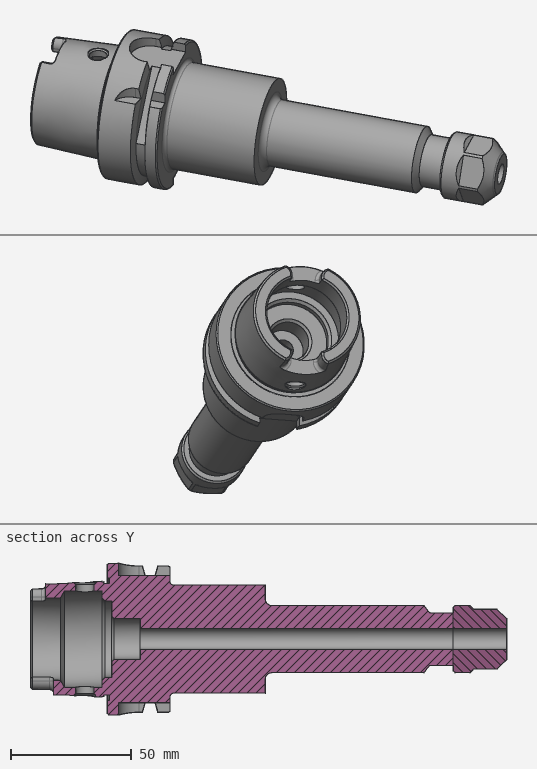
import cadquery as cq
import math

TOTAL_LENGTH = 197.6
ARC_MIDDLE = math.sqrt(0.5)

TAPER_FRONT_RADIUS = 22.7
TAPER_REAR_RADIUS = 24.1
TAPER_LENGTH = 29.6
FRONT_EDGE_CHAMFER = 0.8
COLLAR_RADIUS = 24.0
COLLAR_LENGTH = 0.8
RELIEF_RADIUS = 23.3
FACE_GROOVE_RADIUS = 25.3
FACE_GROOVE_DEPTH = 0.8

FLANGE_RADIUS = 63.0 / 2
FLANGE_START = 31.8
FLANGE_END = 57.9
FLANGE_EDGE_CHAMFER = 0.5
V_GROOVE_RADIUS = 27.5
V_GROOVE_CENTER = 49.6
V_GROOVE_FLOOR_WIDTH = 4.0
V_GROOVE_TOP_WIDTH = 6.3

BODY_RADIUS = 22.5
BODY_END = 97.5
BODY_FILLET = 1.5
STEM_RADIUS = 28.0 / 2
STEM_END = 163.2
STEM_FILLET = 2.8
NECK_RADIUS = 22.0 / 2
NECK_CONE_LENGTH = 2.4

BORE_RADIUS = 34.0 / 2
BORE_STRAIGHT_DEPTH = 12.5
UNDERCUT_RADIUS = 40.0 / 2
UNDERCUT_FLANK_ANGLE = 60
UNDERCUT_END = 29.6
GUIDE_BORE_RADIUS = 15.8
BORE_DEPTH = 33.5
TUBE_HOLE_DIAMETER = 16.8
TUBE_HOLE_MOUTH_DIAMETER = 19.0
TUBE_HOLE_DEPTH = 11.9
COOLANT_HOLE_DIAMETER = 8.5

CROSS_HOLE_X = 22.5
CROSS_HOLE_DIAMETER = 7.5
CROSS_HOLE_MOUTH_DIAMETER = 8.7

DRIVE_SLOT_HALF_WIDTH = 6.3
UPPER_DRIVE_SLOT_DEPTH = 6.1
LOWER_DRIVE_SLOT_DEPTH = 9.5
DRIVE_SLOT_FLARE_RADIUS = 3.5
DRIVE_SLOT_FLARE_TOP = 21.0
DRIVE_SLOT_CORNER_RADIUS = 1.5

KEYWAY_WIDTH = 16.8
KEYWAY_START = 36.5
KEYWAY_FLOOR = 26.5
NOTCH_WALL_Y = -20.0
NOTCH_FLOOR_Z = 19.8
FLAT_UPPER_Y = -5.5
FLAT_LOWER_Z = 2.0

NUT_START = 175.3
NUT_RADIUS = STEM_RADIUS
NUT_REAR_CHAMFER = 0.8
HEX_FLAT_COUNT = 6
HEX_FLAT_DISTANCE = 24.9 / 2
HEX_START = 183.8
HEX_RUNOUT = NUT_RADIUS - HEX_FLAT_DISTANCE
NOSE_CONE_START = 191.9
NOSE_RADIUS = 17.0 / 2
NOSE_RIM_CHAMFER = 0.5


def revolve_profile(profile):
    """Turn a closed (x, radius) profile about the X axis."""
    return profile.close().revolve(360, (0, 0, 0), (1, 0, 0))


def axial_cylinder(diameter, start, length):
    return cq.Workplane("YZ", origin=(start, 0, 0)).circle(diameter / 2).extrude(length)


def concave_fillet_middle(face_x, base_radius, size):
    """Middle point of the fillet between a face toward +X and the cylinder standing on it."""
    inset = size * (1 - ARC_MIDDLE)
    return (face_x + inset, base_radius + inset)


def holder_blank():
    groove_floor_start = V_GROOVE_CENTER - V_GROOVE_FLOOR_WIDTH / 2
    groove_floor_end = V_GROOVE_CENTER + V_GROOVE_FLOOR_WIDTH / 2
    groove_top_start = V_GROOVE_CENTER - V_GROOVE_TOP_WIDTH / 2
    groove_top_end = V_GROOVE_CENTER + V_GROOVE_TOP_WIDTH / 2
    face_groove_floor = FLANGE_START + FACE_GROOVE_DEPTH

    profile = (
        cq.Workplane("XY")
        .moveTo(0, 0)
        .lineTo(0, TAPER_FRONT_RADIUS)
        .lineTo(TAPER_LENGTH, TAPER_REAR_RADIUS)
        .lineTo(TAPER_LENGTH, COLLAR_RADIUS)
        .lineTo(TAPER_LENGTH + COLLAR_LENGTH, COLLAR_RADIUS)
        .lineTo(TAPER_LENGTH + COLLAR_LENGTH, RELIEF_RADIUS)
        .lineTo(face_groove_floor, RELIEF_RADIUS)
        .lineTo(face_groove_floor, FACE_GROOVE_RADIUS)
        .lineTo(FLANGE_START, FACE_GROOVE_RADIUS)
        .lineTo(FLANGE_START, FLANGE_RADIUS - FLANGE_EDGE_CHAMFER)
        .lineTo(FLANGE_START + FLANGE_EDGE_CHAMFER, FLANGE_RADIUS)
        .lineTo(groove_top_start, FLANGE_RADIUS)
        .lineTo(groove_floor_start, V_GROOVE_RADIUS)
        .lineTo(groove_floor_end, V_GROOVE_RADIUS)
        .lineTo(groove_top_end, FLANGE_RADIUS)
        .lineTo(FLANGE_END - FLANGE_EDGE_CHAMFER, FLANGE_RADIUS)
        .lineTo(FLANGE_END, FLANGE_RADIUS - FLANGE_EDGE_CHAMFER)
        .lineTo(FLANGE_END, BODY_RADIUS + BODY_FILLET)
        .threePointArc(
            concave_fillet_middle(FLANGE_END, BODY_RADIUS, BODY_FILLET),
            (FLANGE_END + BODY_FILLET, BODY_RADIUS),
        )
        .lineTo(BODY_END, BODY_RADIUS)
        .lineTo(BODY_END, STEM_RADIUS + STEM_FILLET)
        .threePointArc(
            concave_fillet_middle(BODY_END, STEM_RADIUS, STEM_FILLET),
            (BODY_END + STEM_FILLET, STEM_RADIUS),
        )
        .lineTo(STEM_END, STEM_RADIUS)
        .lineTo(STEM_END + NECK_CONE_LENGTH, NECK_RADIUS)
        .lineTo(NUT_START, NECK_RADIUS)
        .lineTo(NUT_START, 0)
    )
    return revolve_profile(profile)


def holder_bores():
    """Clamping bore with its undercut, coolant tube hole and coolant hole, stepping down along the axis."""
    tube_hole_radius = TUBE_HOLE_DIAMETER / 2
    tube_mouth_radius = TUBE_HOLE_MOUTH_DIAMETER / 2
    flank_rise = UNDERCUT_RADIUS - BORE_RADIUS
    flank_end = BORE_STRAIGHT_DEPTH + flank_rise / math.tan(math.radians(UNDERCUT_FLANK_ANGLE))
    guide_chamfer = BORE_RADIUS - GUIDE_BORE_RADIUS
    tube_chamfer = tube_mouth_radius - tube_hole_radius
    profile = (
        cq.Workplane("XY")
        .moveTo(0, 0)
        .lineTo(0, BORE_RADIUS)
        .lineTo(BORE_STRAIGHT_DEPTH, BORE_RADIUS)
        .lineTo(flank_end, UNDERCUT_RADIUS)
        .lineTo(UNDERCUT_END, UNDERCUT_RADIUS)
        .lineTo(UNDERCUT_END, BORE_RADIUS)
        .lineTo(UNDERCUT_END + guide_chamfer, GUIDE_BORE_RADIUS)
        .lineTo(BORE_DEPTH, GUIDE_BORE_RADIUS)
        .lineTo(BORE_DEPTH, tube_mouth_radius)
        .lineTo(BORE_DEPTH + tube_chamfer, tube_hole_radius)
        .lineTo(BORE_DEPTH + TUBE_HOLE_DEPTH, tube_hole_radius)
        .lineTo(BORE_DEPTH + TUBE_HOLE_DEPTH, 0)
    )
    return revolve_profile(profile).union(axial_cylinder(COOLANT_HOLE_DIAMETER, 0, NUT_START))


def cross_hole():
    """Hole through both taper walls, with a small countersink at each mouth."""
    taper_slope = (TAPER_REAR_RADIUS - TAPER_FRONT_RADIUS) / TAPER_LENGTH
    wall_radius = TAPER_FRONT_RADIUS + taper_slope * CROSS_HOLE_X
    hole_radius = CROSS_HOLE_DIAMETER / 2
    mouth_radius = CROSS_HOLE_MOUTH_DIAMETER / 2
    sink_depth = mouth_radius - hole_radius
    half_hole = (
        cq.Workplane("XZ", origin=(CROSS_HOLE_X, 0, 0))
        .lineTo(hole_radius, 0)
        .lineTo(hole_radius, wall_radius - 2 * sink_depth)
        .lineTo(mouth_radius, wall_radius - sink_depth)
        .lineTo(mouth_radius, FLANGE_RADIUS)
        .lineTo(0, FLANGE_RADIUS)
        .close()
        .revolve(360, (0, 0, 0), (0, 1, 0))
    )
    return half_hole.union(half_hole.mirror("XY"))


def drive_slot(depth):
    """Slot open to the front and top, with walls that round outward into the taper surface."""
    inner = DRIVE_SLOT_HALF_WIDTH
    outer = inner + DRIVE_SLOT_FLARE_RADIUS
    flare_start = DRIVE_SLOT_FLARE_TOP - DRIVE_SLOT_FLARE_RADIUS
    arc_y = outer - DRIVE_SLOT_FLARE_RADIUS * ARC_MIDDLE
    arc_z = flare_start + DRIVE_SLOT_FLARE_RADIUS * ARC_MIDDLE
    return (
        cq.Workplane("YZ")
        .moveTo(-inner, 0)
        .lineTo(inner, 0)
        .lineTo(inner, flare_start)
        .threePointArc((arc_y, arc_z), (outer, DRIVE_SLOT_FLARE_TOP))
        .lineTo(outer, FLANGE_RADIUS)
        .lineTo(-outer, FLANGE_RADIUS)
        .lineTo(-outer, DRIVE_SLOT_FLARE_TOP)
        .threePointArc((-arc_y, arc_z), (-inner, flare_start))
        .close()
        .extrude(depth)
        .faces(">X")
        .edges("|Z or %CIRCLE")
        .fillet(DRIVE_SLOT_CORNER_RADIUS)
    )


def round_ended_cutter(center_y, floor_z):
    """Cut of an end mill on a vertical axis that enters from the +X side of the flange."""
    radius = KEYWAY_WIDTH / 2
    center_x = KEYWAY_START + radius
    height = FLANGE_RADIUS - floor_z
    plane = cq.Workplane("XY", origin=(center_x, center_y, floor_z))
    run = FLANGE_END - center_x
    straight = plane.center(run / 2, 0).rect(run, KEYWAY_WIDTH).extrude(height)
    return plane.circle(radius).extrude(height).union(straight)


def groove_flat():
    """Slanted flat across the floor of the V groove, on the side of the corner notch."""
    upper = (FLAT_UPPER_Y, KEYWAY_FLOOR)
    lower = (-math.sqrt(V_GROOVE_RADIUS**2 - FLAT_LOWER_Z**2), FLAT_LOWER_Z)
    return (
        cq.Workplane("YZ", origin=(V_GROOVE_CENTER - V_GROOVE_FLOOR_WIDTH / 2, 0, 0))
        .moveTo(*upper)
        .lineTo(*lower)
        .lineTo(-FLANGE_RADIUS, FLAT_LOWER_Z)
        .lineTo(-FLANGE_RADIUS, FLANGE_RADIUS)
        .lineTo(FLAT_UPPER_Y, FLANGE_RADIUS)
        .close()
        .extrude(V_GROOVE_FLOOR_WIDTH)
    )


def make_holder():
    holder = holder_blank()
    holder = holder.cut(drive_slot(UPPER_DRIVE_SLOT_DEPTH))
    holder = holder.cut(drive_slot(LOWER_DRIVE_SLOT_DEPTH).mirror("XY"))
    holder = holder.cut(holder_bores())
    holder = holder.faces("<X").edges().chamfer(FRONT_EDGE_CHAMFER)
    holder = holder.cut(cross_hole())
    keyway = round_ended_cutter(0, KEYWAY_FLOOR)
    holder = holder.cut(keyway).cut(keyway.mirror("XY"))
    holder = holder.cut(round_ended_cutter(NOTCH_WALL_Y - KEYWAY_WIDTH / 2, NOTCH_FLOOR_Z))
    return holder.cut(groove_flat())


def nut_blank():
    rim_start = TOTAL_LENGTH - NOSE_RIM_CHAMFER
    profile = (
        cq.Workplane("XY")
        .moveTo(NUT_START, 0)
        .lineTo(NUT_START, NUT_RADIUS - NUT_REAR_CHAMFER)
        .lineTo(NUT_START + NUT_REAR_CHAMFER, NUT_RADIUS)
        .lineTo(NOSE_CONE_START, NUT_RADIUS)
        .lineTo(rim_start, NOSE_RADIUS + NOSE_RIM_CHAMFER)
        .lineTo(TOTAL_LENGTH, NOSE_RADIUS)
        .lineTo(TOTAL_LENGTH, 0)
    )
    return revolve_profile(profile)


def hex_flat_cutter():
    """Cut that leaves one wrench flat facing +Z, with a sloped runout toward the collar."""
    return (
        cq.Workplane("XZ")
        .moveTo(HEX_START - HEX_RUNOUT, NUT_RADIUS)
        .lineTo(HEX_START, HEX_FLAT_DISTANCE)
        .lineTo(TOTAL_LENGTH, HEX_FLAT_DISTANCE)
        .lineTo(TOTAL_LENGTH, NUT_RADIUS)
        .close()
        .extrude(NUT_RADIUS, both=True)
    )


def make_nut():
    nut = nut_blank()
    for flat in range(HEX_FLAT_COUNT):
        nut = nut.cut(hex_flat_cutter().rotate((0, 0, 0), (1, 0, 0), flat * 360 / HEX_FLAT_COUNT))
    return nut.cut(axial_cylinder(COOLANT_HOLE_DIAMETER, NUT_START, TOTAL_LENGTH - NUT_START))


holder = make_holder()
nut = make_nut()
result = cq.Compound.makeCompound([holder.val(), nut.val()])